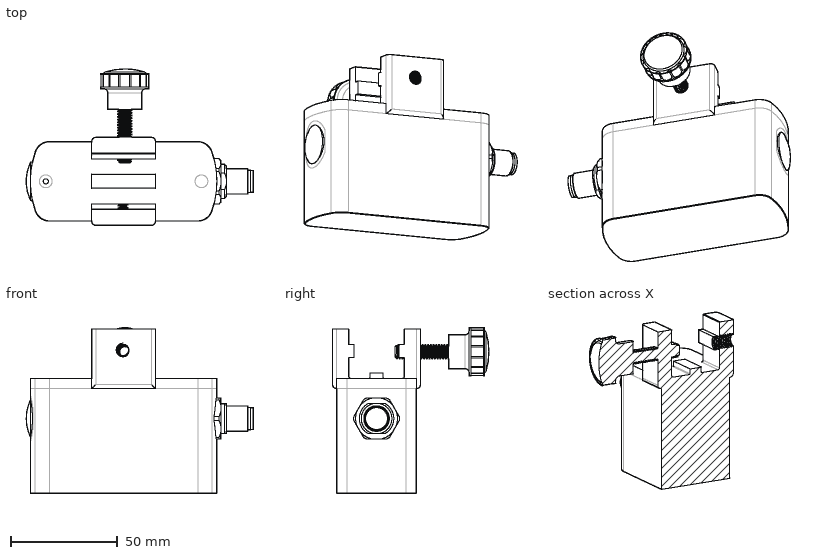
import cadquery as cq
import math

CLEARANCE = 1.0

BODY_HEIGHT = 54.0
COVER_HEIGHT = 4.8
BODY_WIDTH = 37.3
END_RADIUS = 43.65
CORNER_RADIUS = 7.0
BOTTOM_CHAMFER = 0.3
JOINT_Z = BODY_HEIGHT - COVER_HEIGHT

PLUG_DIAMETER = 6.0
PLUG_OFFSET = 36.45
PLUG_DEPTH = 2.0
SOCKET_DIAMETER = 2.4
SOCKET_DEPTH = 0.5

CLAMP_LENGTH = 29.9
CLAMP_WIDTH = 41.3
CLAMP_TOP_Z = 77.2
JAW_GAP = 25.8
CLAMP_ROUNDING = (CLAMP_WIDTH - BODY_WIDTH) / 2
JAW_ROOT_FILLET = 0.8
JAW_TOP_CHAMFER = 0.3
TOOTH_GAP = 21.1
TOOTH_HEIGHT = 6.2
TOOTH_Z = 66.8
RIB_WIDTH = 6.25
RIB_HEIGHT = 2.65
RIB_ROOT_FILLET = 0.3

SCREW_X = 0.55
SCREW_Z = 66.5
SCREW_END_Y = 8.6
SCREW_CREST_RADIUS = 6.62 / 2
SCREW_ROOT_RADIUS = 5.25 / 2
SCREW_TIP_DIAMETER = 4.7
SCREW_EMBED = 1.0
PITCH = 1.27
RIDGE_BASE_WIDTH = 0.80 * PITCH
RIDGE_CREST_WIDTH = 0.20 * PITCH
RIDGE_OVERLAP = 0.1
HOLE_X = -0.3
HOLE_Z = 67.3
HOLE_CREST_RADIUS = 6.35 / 2
HOLE_ROOT_RADIUS = 5.25 / 2

KNOB_TOP_Y = 52.68
KNOB_RADIUS = 11.33
KNOB_LAND_RADIUS = 10.2
LOBE_TIP_RADIUS = KNOB_RADIUS - 0.1
LOBE_COUNT = 12
LOBE_RADIUS = 2.7
KNOB_CAP_RADIUS = 9.3
CAP_RIM_RADIUS = 10.0
KNOB_CAP_Y = 51.25
GRIP_TOP_Y = 50.5
GRIP_BOTTOM_Y = 43.3
FLANGE_HEIGHT = 0.9
GRIP_RIM_HEIGHT = 0.4
SLEEVE_RADIUS = 8.0
SLEEVE_TOP_Y = 41.4
BUSH_DIAMETER = 8.3
BUSH_LENGTH = 8.0
SLEEVE_BOTTOM_Y = 33.75

FITTING_Z = 35.2
DOME_DIAMETER = 18.2
DOME_TIP_X = -45.68
DOME_RIM_X = -43.5
SEAT_DIAMETER = 22.2
SEAT_FLATS = 19.7
SEAT_DEPTH = 6.0

NUT_START_X = 40.0
NUT_END_X = 45.55
NUT_FLATS = 19.35
NUT_DIAMETER = 21.4
COLLAR_END_X = 48.1
COLLAR_DIAMETER = 16.15
COLLAR_FLATS = 14.1
NUT_CHAMFER = 0.9
BARREL_DIAMETER = 12.0
BARREL_END_X = 58.3
BARREL_CHAMFER = 0.3
NECK_DIAMETER = 10.5
NECK_END_X = 59.5
TIP_DIAMETER = 10.3
TIP_END_X = 60.73


def centred_box(length, width, z_bottom, z_top, y=0):
    box = cq.Workplane("XY").box(length, width, z_top - z_bottom, centered=(True, True, False))
    return box.translate((0, y, z_bottom))


def x_cylinder(diameter, x_start, x_end):
    """Cylinder along X on the axis shared by both end fittings."""
    plane = cq.Workplane("YZ", origin=(x_start, 0, FITTING_Z))
    return plane.circle(diameter / 2).extrude(x_end - x_start)


def body_slab(z_bottom, z_top):
    """Slab with straight sides, arced ends and rounded corners."""
    disc = cq.Workplane("XY").workplane(offset=z_bottom).circle(END_RADIUS).extrude(z_top - z_bottom)
    slab = disc.intersect(centred_box(2 * END_RADIUS + CLEARANCE, BODY_WIDTH, z_bottom, z_top))
    return slab.edges("|Z").fillet(CORNER_RADIUS)


def embed(base, insert):
    """Let an insert into a solid so that the joint edges remain on the surface."""
    return base.cut(insert, clean=False).union(insert, clean=False)


def threaded_rod(crest_radius, root_radius, length):
    """Rod along +Z from the origin with a right-hand helical ridge."""
    base = RIDGE_BASE_WIDTH / 2
    crest = RIDGE_CREST_WIDTH / 2
    path = cq.Wire.makeHelix(PITCH, length + PITCH, root_radius)
    ridge = (
        cq.Workplane("XZ")
        .polyline([
            (root_radius - RIDGE_OVERLAP, -base),
            (crest_radius, -crest),
            (crest_radius, crest),
            (root_radius - RIDGE_OVERLAP, base),
        ])
        .close()
        .sweep(cq.Workplane(path), isFrenet=True)
        .translate((0, 0, -PITCH / 2))
    )
    core = cq.Workplane("XY").circle(root_radius).extrude(length)
    trim = cq.Workplane("XY").circle(crest_radius + CLEARANCE).extrude(length)
    return core.union(ridge.intersect(trim))


def along_y(shape, x, y, z):
    """Turn a shape built along +Z to run along +Y from the given point."""
    return shape.rotate((0, 0, 0), (1, 0, 0), -90).translate((x, y, z))


def make_cover():
    cover = body_slab(JOINT_Z, BODY_HEIGHT)
    for x in (-PLUG_OFFSET, PLUG_OFFSET):
        plug = (
            cq.Workplane("XY", origin=(x, 0, BODY_HEIGHT - PLUG_DEPTH))
            .circle(PLUG_DIAMETER / 2)
            .extrude(PLUG_DEPTH)
        )
        cover = embed(cover, plug)
    socket = (
        cq.Workplane("XY", origin=(-PLUG_OFFSET, 0, BODY_HEIGHT - SOCKET_DEPTH))
        .circle(SOCKET_DIAMETER / 2)
        .extrude(SOCKET_DEPTH)
    )
    return cover.cut(socket, clean=False)


def root_fillet(radius, y, side):
    """Concave strip along X on the cover, curving up into a wall that faces `side`."""
    reach = side * radius
    bow = side * radius * (1 - math.sqrt(0.5))
    profile = (
        cq.Workplane("YZ", origin=(-CLAMP_LENGTH / 2, y, BODY_HEIGHT))
        .moveTo(0, 0)
        .lineTo(reach, 0)
        .threePointArc((bow, abs(bow)), (0, radius))
        .close()
    )
    return profile.extrude(CLAMP_LENGTH)


def make_jaw(side):
    """Jaw on one side of the clamp, with its tooth and root fillet facing the middle."""
    jaw_width = (CLAMP_WIDTH - JAW_GAP) / 2
    jaw_y = (CLAMP_WIDTH + JAW_GAP) / 4
    tooth_reach = (JAW_GAP - TOOTH_GAP) / 2
    tooth_y = (JAW_GAP + TOOTH_GAP) / 4
    inner_edge = "|X and >Z and " + ("<Y" if side > 0 else ">Y")

    outline = centred_box(CLAMP_LENGTH, CLAMP_WIDTH, JOINT_Z, CLAMP_TOP_Z)
    rounded_sides = outline.edges("|Z").fillet(CLAMP_ROUNDING)
    rounded_bottom = outline.edges("|X and <Z").fillet(CLAMP_ROUNDING)
    jaw = centred_box(CLAMP_LENGTH, jaw_width, JOINT_Z, CLAMP_TOP_Z, side * jaw_y)
    jaw = jaw.edges(inner_edge).chamfer(JAW_TOP_CHAMFER)
    jaw = jaw.intersect(rounded_sides).intersect(rounded_bottom)

    tooth_bottom = TOOTH_Z - TOOTH_HEIGHT / 2
    tooth = centred_box(
        CLAMP_LENGTH, tooth_reach, tooth_bottom, tooth_bottom + TOOTH_HEIGHT, side * tooth_y
    )
    return jaw.union(tooth).union(root_fillet(JAW_ROOT_FILLET, side * JAW_GAP / 2, -side))


def make_rib():
    rib = centred_box(CLAMP_LENGTH, RIB_WIDTH, JOINT_Z, BODY_HEIGHT + RIB_HEIGHT)
    for side in (-1, 1):
        rib = rib.union(root_fillet(RIB_ROOT_FILLET, side * RIB_WIDTH / 2, side))
    return rib


def make_threaded_jaw():
    """Jaw on the -Y side, with a tapped through hole."""
    hole_length = (CLAMP_WIDTH - TOOTH_GAP) / 2 + 2 * CLEARANCE
    hole = threaded_rod(HOLE_CREST_RADIUS, HOLE_ROOT_RADIUS, hole_length)
    return make_jaw(-1).cut(along_y(hole, HOLE_X, -CLAMP_WIDTH / 2 - CLEARANCE, HOLE_Z))


def make_screw():
    length = SLEEVE_BOTTOM_Y + SCREW_EMBED - SCREW_END_Y
    rod = threaded_rod(SCREW_CREST_RADIUS, SCREW_ROOT_RADIUS, length)
    tip_radius = SCREW_TIP_DIAMETER / 2
    trim_radius = SCREW_CREST_RADIUS + CLEARANCE
    tip_length = trim_radius - tip_radius
    envelope = (
        cq.Workplane("XZ")
        .polyline([
            (0, 0), (tip_radius, 0), (trim_radius, tip_length),
            (trim_radius, length), (0, length),
        ])
        .close()
        .revolve(360, (0, 0), (0, 1))
    )
    return along_y(rod.intersect(envelope), SCREW_X, SCREW_END_Y, SCREW_Z)


def lobed_grip(height):
    """Bar with convex lobes around it, held between a round flange and a thin round rim."""
    plane = cq.Workplane("XY")
    flange = plane.circle(KNOB_RADIUS).extrude(FLANGE_HEIGHT)
    rim = plane.workplane(offset=height - GRIP_RIM_HEIGHT).circle(KNOB_RADIUS).extrude(GRIP_RIM_HEIGHT)
    core = plane.circle(KNOB_LAND_RADIUS).extrude(height)
    lobes = (
        plane.polarArray(LOBE_TIP_RADIUS - LOBE_RADIUS, 0, 360, LOBE_COUNT)
        .circle(LOBE_RADIUS)
        .extrude(height)
    )
    return core.union(lobes).union(flange).union(rim)


def make_knob():
    grip_height = GRIP_TOP_Y - GRIP_BOTTOM_Y
    cap_height = KNOB_CAP_Y - GRIP_BOTTOM_Y
    top_height = KNOB_TOP_Y - GRIP_BOTTOM_Y
    dome_sag = top_height - cap_height
    dome_radius = (KNOB_CAP_RADIUS ** 2 + dome_sag ** 2) / (2 * dome_sag)
    half_radius = KNOB_CAP_RADIUS / 2
    half_drop = dome_radius - math.sqrt(dome_radius ** 2 - half_radius ** 2)
    cap = (
        cq.Workplane("XZ")
        .moveTo(0, 0)
        .lineTo(CAP_RIM_RADIUS, 0)
        .lineTo(CAP_RIM_RADIUS, grip_height)
        .lineTo(KNOB_CAP_RADIUS, cap_height)
        .threePointArc((half_radius, top_height - half_drop), (0, top_height))
        .close()
        .revolve(360, (0, 0), (0, 1))
    )
    neck = GRIP_BOTTOM_Y - SLEEVE_TOP_Y
    diagonal = neck * (1 - math.sqrt(0.5))
    sleeve = (
        cq.Workplane("XZ")
        .moveTo(0, SLEEVE_BOTTOM_Y - GRIP_BOTTOM_Y)
        .lineTo(SLEEVE_RADIUS, SLEEVE_BOTTOM_Y - GRIP_BOTTOM_Y)
        .lineTo(SLEEVE_RADIUS, -neck)
        .threePointArc((SLEEVE_RADIUS + diagonal, -diagonal), (SLEEVE_RADIUS + neck, 0))
        .lineTo(0, 0)
        .close()
        .revolve(360, (0, 0), (0, 1))
    )
    bush = (
        cq.Workplane("XY", origin=(0, 0, SLEEVE_BOTTOM_Y - GRIP_BOTTOM_Y))
        .circle(BUSH_DIAMETER / 2)
        .extrude(BUSH_LENGTH)
    )
    knob = embed(lobed_grip(grip_height).union(cap).union(sleeve), bush)
    return along_y(knob, SCREW_X, GRIP_BOTTOM_Y, SCREW_Z)


def make_dome():
    """Button with a short cylindrical rim and a spherical cap."""
    rim_radius = DOME_DIAMETER / 2
    sag = DOME_RIM_X - DOME_TIP_X
    sphere_radius = (rim_radius ** 2 + sag ** 2) / (2 * sag)
    sphere = cq.Workplane("XY").sphere(sphere_radius).translate((DOME_TIP_X + sphere_radius, 0, FITTING_Z))
    return x_cylinder(DOME_DIAMETER, DOME_TIP_X, DOME_RIM_X + SEAT_DEPTH).intersect(sphere)


def add_dome(body):
    seat = x_cylinder(SEAT_DIAMETER, DOME_TIP_X, DOME_RIM_X + SEAT_DEPTH)
    seat = seat.intersect(centred_box(2 * END_RADIUS + CLEARANCE, SEAT_FLATS, 0, BODY_HEIGHT)).intersect(body)
    body = embed(body, seat)
    body = body.cut(x_cylinder(DOME_DIAMETER, DOME_TIP_X, DOME_RIM_X + SEAT_DEPTH), clean=False)
    return body.union(make_dome(), clean=False)


def make_connector():
    hexagon = (
        cq.Workplane("YZ", origin=(NUT_START_X, 0, FITTING_Z))
        .polygon(6, NUT_FLATS / math.cos(math.pi / 6))
        .extrude(NUT_END_X - NUT_START_X)
    )
    nut_round = x_cylinder(NUT_DIAMETER, NUT_START_X, NUT_END_X).faces(">X").chamfer(NUT_CHAMFER)
    nut = nut_round.intersect(hexagon)
    collar_round = x_cylinder(COLLAR_DIAMETER, NUT_START_X, COLLAR_END_X).faces(">X").chamfer(NUT_CHAMFER)
    flats = centred_box(
        2 * COLLAR_END_X, COLLAR_DIAMETER, FITTING_Z - COLLAR_FLATS / 2, FITTING_Z + COLLAR_FLATS / 2
    )
    connector = nut.union(collar_round.intersect(flats))
    barrel = x_cylinder(BARREL_DIAMETER, NUT_START_X, BARREL_END_X).faces(">X").chamfer(BARREL_CHAMFER)
    connector = connector.union(barrel)
    connector = connector.union(x_cylinder(NECK_DIAMETER, NUT_START_X, NECK_END_X))
    return connector.union(x_cylinder(TIP_DIAMETER, NUT_START_X, TIP_END_X))


housing = body_slab(0, JOINT_Z).faces("<Z").chamfer(BOTTOM_CHAMFER)
result = housing.union(make_cover(), clean=False)
result = add_dome(result)
components = (
    make_connector(), make_rib(), make_threaded_jaw(), make_jaw(1), make_screw(), make_knob()
)
for component in components:
    result = result.union(component, clean=False)